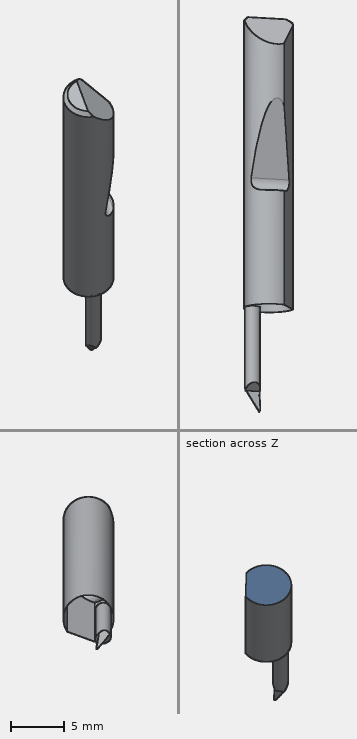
import cadquery as cq
import math

SHANK_DIAMETER = 4.76
SHANK_RADIUS = SHANK_DIAMETER / 2
SHANK_LENGTH = 27.88
TOP_CHAMFER = 0.4
TOP_BEVEL_START_Y = -0.6

FLAT_DISTANCE = 1.94
FLAT_DIRECTION = 143.5

NOTCH_FLOOR_Z = 10.92
NOTCH_TOP_Z = 19.75
NOTCH_SLOPE = 10.0
NOTCH_CORNER_RADIUS = 1.1

NECK_RADIUS = 0.73
NECK_X = SHANK_RADIUS - NECK_RADIUS
NECK_LEFT_X = NECK_X - NECK_RADIUS
REACH = 10.0
TIP_Z = -REACH
NECK_BEVEL_Z = -7.3

SHOULDER_Z = -8.42
TIP_OVERHANG = 0.06
NOSE_WIDTH = 0.14
NOSE_HEIGHT = 0.2
EDGE_ANGLE = 33.0
SIDE_RELIEF = 45.0
END_RELIEF = 36.0
RELIEF_DEPTH = 1.0
FLANK_RISE = 3.0
FLANK_TOP_Z = SHOULDER_Z + FLANK_RISE
MARGIN = 5.0


def make_shank():
    bar = cq.Workplane("XY").circle(SHANK_RADIUS).extrude(SHANK_LENGTH)
    return bar.faces(">Z").chamfer(TOP_CHAMFER)


def across_x(points):
    """Prism through the full width of the shank from (y, z) points."""
    return cq.Workplane("YZ").polyline(points).close().extrude(SHANK_DIAMETER, both=True)


def top_bevel():
    run = SHANK_RADIUS + MARGIN - TOP_BEVEL_START_Y
    outer_y = TOP_BEVEL_START_Y + run
    return across_x([
        (TOP_BEVEL_START_Y, SHANK_LENGTH),
        (outer_y, SHANK_LENGTH - run),
        (outer_y, SHANK_LENGTH),
    ])


def clamping_flat():
    block = cq.Workplane("XY").box(
        MARGIN, 2 * SHANK_DIAMETER, SHANK_LENGTH, centered=(False, True, False)
    )
    return block.translate((FLAT_DISTANCE, 0, 0)).rotate((0, 0, 0), (0, 0, 1), FLAT_DIRECTION)


def whistle_notch():
    slope = math.tan(math.radians(NOTCH_SLOPE))
    corner_y = SHANK_RADIUS - (NOTCH_TOP_Z - NOTCH_FLOOR_Z) * slope
    outer_y = SHANK_RADIUS + MARGIN
    wedge = across_x([
        (SHANK_RADIUS, NOTCH_TOP_Z),
        (corner_y, NOTCH_FLOOR_Z),
        (outer_y, NOTCH_FLOOR_Z),
        (outer_y, NOTCH_TOP_Z),
    ])
    return wedge.edges("|X").edges("<Y").fillet(NOTCH_CORNER_RADIUS)


def relieved_prism(points, shift):
    """Prism from (x, z) points on the rake plane, sheared by shift along X toward -Y."""
    front = [cq.Vector(x, 0, z) for x, z in points]
    back = [cq.Vector(x + shift, -RELIEF_DEPTH, z) for x, z in points]
    wires = [cq.Wire.makePolygon(outline, close=True) for outline in (front, back)]
    return cq.Workplane(cq.Solid.makeLoft(wires, True))


def side_flank():
    """Space to the +X side of the upright cutting edge, with the shoulder above it."""
    edge_x = NECK_LEFT_X - TIP_OVERHANG
    outer_x = SHANK_RADIUS + MARGIN
    points = [
        (edge_x + NOSE_WIDTH, TIP_Z),
        (edge_x, TIP_Z + NOSE_HEIGHT),
        (NECK_LEFT_X, SHOULDER_Z),
        (NECK_LEFT_X - FLANK_RISE, FLANK_TOP_Z),
        (outer_x, FLANK_TOP_Z),
        (outer_x, TIP_Z),
    ]
    return relieved_prism(points, RELIEF_DEPTH * math.tan(math.radians(SIDE_RELIEF)))


def end_flank():
    """Space above the sloping cutting edge."""
    nose_x = NECK_LEFT_X - TIP_OVERHANG + NOSE_WIDTH
    points = [
        (nose_x, TIP_Z),
        (nose_x + (FLANK_TOP_Z - TIP_Z) * math.tan(math.radians(EDGE_ANGLE)), FLANK_TOP_Z),
        (nose_x - MARGIN, FLANK_TOP_Z),
        (nose_x - MARGIN, TIP_Z),
    ]
    return relieved_prism(points, -RELIEF_DEPTH * math.tan(math.radians(END_RELIEF)))


def neck_bar(bottom_z):
    return (
        cq.Workplane("XY", origin=(NECK_X, 0, bottom_z))
        .circle(NECK_RADIUS)
        .extrude(-bottom_z)
    )


def rear_space():
    """Block on the +Y side of the rake plane."""
    block = cq.Workplane("XY").box(2 * MARGIN, MARGIN, REACH, centered=(True, False, False))
    return block.translate((0, 0, TIP_Z))


def rear_bevel():
    bottom_z = NECK_BEVEL_Z - NECK_RADIUS
    return across_x([
        (0, TIP_Z),
        (0, bottom_z),
        (MARGIN, bottom_z + MARGIN),
        (MARGIN, TIP_Z),
    ])


def make_ground_end():
    """Front half of the neck end, ground to the cutting tip."""
    tip_stock = (
        cq.Workplane("XY", origin=(NECK_X, 0, TIP_Z))
        .rect(2 * (NECK_RADIUS + TIP_OVERHANG), 2 * NECK_RADIUS)
        .extrude(SHOULDER_Z - TIP_Z)
    )
    stock = neck_bar(TIP_Z).union(tip_stock)
    return stock.intersect(side_flank()).intersect(end_flank())


def make_neck_and_tip():
    full_round = neck_bar(FLANK_TOP_Z)
    rear_half = neck_bar(TIP_Z).intersect(rear_space()).cut(rear_bevel())
    return full_round.union(make_ground_end()).union(rear_half)


result = (
    make_shank()
    .cut(top_bevel())
    .cut(clamping_flat())
    .cut(whistle_notch())
    .union(make_neck_and_tip())
)